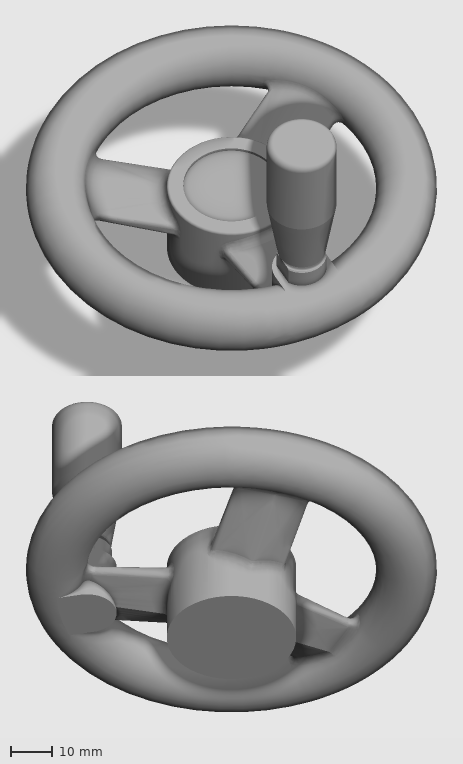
import cadquery as cq
import math

rim_outer_radius = 50.0
rim_thickness = 14.8
rim_tube_radius = rim_thickness / 2
rim_crown_radius = rim_outer_radius - rim_tube_radius
rim_center_z = 21.6
rim_top_z = rim_center_z + rim_tube_radius

hub_diameter = 31.5
hub_height = 22.8
hub_edge_radius = 0.6
recess_diameter = 23.5
recess_depth = 0.8

spoke_count = 3
spoke_width = 18.7
spoke_hub_radius = hub_diameter / 2
spoke_inner_radius = 11.0
spoke_outer_radius = 38.5
spoke_keel_at_hub = 10.2
spoke_keel_slope = 0.36
spoke_keel_depth_at_hub = 5.2
spoke_keel_depth_at_rim = 2.0
spoke_top_at_hub = 19.2
spoke_top_slope = 0.2
spoke_top_bow = 1.5
spoke_edge_radius = 1.1
junction_radius = 1.8

seam_angle = 180 / spoke_count

handle_x = 36.0
boss_width = 14.4
collar_diameter = 12.2
collar_across_flats = 10.5
collar_top_z = 34.0
collar_edge = 0.3
neck_diameter = 8.0
grip_diameter = 17.0
grip_bottom_diameter = 11.8
grip_bottom_z = 35.2
grip_shoulder_z = 52.6
grip_top_z = 75.0
grip_top_radius = 1.5
grip_bottom_edge = 0.3


def make_rim():
    return (
        cq.Workplane("XZ")
        .center(rim_crown_radius, rim_center_z)
        .circle(rim_tube_radius)
        .revolve(360, (-rim_crown_radius, 0), (-rim_crown_radius, 1))
        .rotate((0, 0, 0), (0, 0, 1), seam_angle)
    )


def make_hub():
    hub = (
        cq.Workplane("XY")
        .circle(hub_diameter / 2)
        .extrude(hub_height)
        .faces(">Z")
        .edges()
        .fillet(hub_edge_radius)
        .faces(">Z")
        .workplane()
        .circle(recess_diameter / 2)
        .cutBlind(-recess_depth)
    )
    return hub.rotate((0, 0, 0), (0, 0, 1), seam_angle)


def spoke_section(radius, keel_depth):
    """Closed cross-section of a spoke at a distance from the wheel axis."""
    run = radius - spoke_hub_radius
    keel_z = spoke_keel_at_hub + spoke_keel_slope * run
    top_z = spoke_top_at_hub + spoke_top_slope * run
    half = spoke_width / 2
    side_bottom_z = keel_z + keel_depth
    side_top_z = top_z - spoke_top_bow
    section = (
        cq.Workplane("YZ", origin=(radius, 0, 0))
        .moveTo(-half, side_bottom_z)
        .lineTo(0, keel_z)
        .lineTo(half, side_bottom_z)
        .lineTo(half, side_top_z)
        .threePointArc((0, top_z), (-half, side_top_z))
        .close()
    )
    return section.val()


def make_spoke():
    hub_end = spoke_section(spoke_inner_radius, spoke_keel_depth_at_hub)
    rim_end = spoke_section(spoke_outer_radius, spoke_keel_depth_at_rim)
    spoke = cq.Workplane(cq.Solid.makeLoft([hub_end, rim_end], True))
    return spoke.faces("<Y or >Y").edges("(not #X) and (not |Z)").fillet(spoke_edge_radius)


def round_spoke_junctions(wheel, host_surface):
    """Blend the spokes into the round faces of the given surface type."""
    junctions = []
    for face in wheel.faces(host_surface).vals():
        junctions += [edge for edge in face.Edges() if edge.geomType() == "BSPLINE"]
    return wheel.newObject(junctions).fillet(junction_radius)


def make_wheel():
    wheel = make_rim().union(make_hub())
    spoke = make_spoke()
    for index in range(spoke_count):
        wheel = wheel.union(spoke.rotate((0, 0, 0), (0, 0, 1), index * 360 / spoke_count))
    wheel = round_spoke_junctions(wheel, "%TORUS")
    return round_spoke_junctions(wheel, "%CYLINDER")


def make_handle_boss():
    """U-shaped boss as tall as the rim, running outward into the rim crown."""
    round_end = cq.Workplane("XY", origin=(handle_x, 0, 0)).circle(boss_width / 2).extrude(rim_top_z)
    tail_length = rim_crown_radius - handle_x
    tail = (
        cq.Workplane("XY", origin=(handle_x, 0, 0))
        .rect(tail_length, boss_width, centered=(False, True))
        .extrude(rim_top_z)
    )
    within_rim = (
        cq.Workplane("XY", origin=(0, 0, rim_center_z - rim_tube_radius))
        .circle(rim_crown_radius)
        .extrude(rim_thickness)
    )
    return round_end.union(tail).intersect(within_rim)


def make_collar():
    """Round collar with two flats and a chamfered top edge."""
    collar = (
        cq.Workplane("XY", origin=(handle_x, 0, rim_center_z))
        .circle(collar_diameter / 2)
        .extrude(collar_top_z - rim_center_z)
        .faces(">Z")
        .chamfer(collar_edge)
    )
    flats = (
        cq.Workplane("XY", origin=(handle_x, 0, rim_center_z))
        .rect(collar_diameter, collar_across_flats)
        .extrude(collar_top_z - rim_center_z)
    )
    return collar.intersect(flats)


def make_grip():
    """Turned neck and tapered grip with a rounded top."""
    neck_radius = neck_diameter / 2
    bottom_radius = grip_bottom_diameter / 2
    grip_radius = grip_diameter / 2
    corner = grip_top_radius * (1 - math.sqrt(0.5))
    return (
        cq.Workplane("XZ", origin=(handle_x, 0, 0))
        .moveTo(0, rim_center_z)
        .lineTo(neck_radius, rim_center_z)
        .lineTo(neck_radius, grip_bottom_z)
        .lineTo(bottom_radius - grip_bottom_edge, grip_bottom_z)
        .lineTo(bottom_radius, grip_bottom_z + grip_bottom_edge)
        .lineTo(grip_radius, grip_shoulder_z)
        .lineTo(grip_radius, grip_top_z - grip_top_radius)
        .threePointArc(
            (grip_radius - corner, grip_top_z - corner),
            (grip_radius - grip_top_radius, grip_top_z),
        )
        .lineTo(0, grip_top_z)
        .close()
        .revolve(360, (0, 0), (0, 1))
    )


result = make_wheel().union(make_handle_boss()).union(make_collar()).union(make_grip())